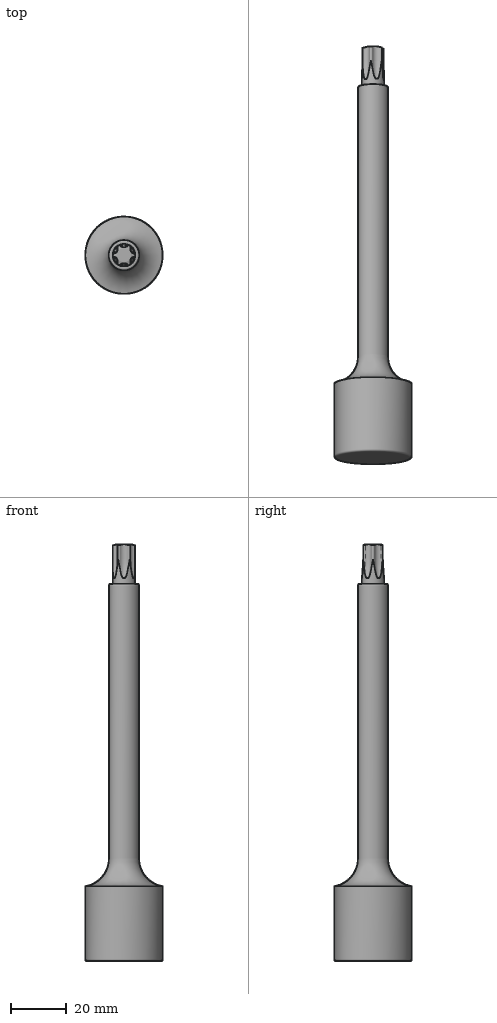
import cadquery as cq
import math

total_height = 150.3
socket_diameter = 28.0
socket_height = 27.0
flare_top = 37.0
shaft_diameter = 11.0
shaft_top = 136.0
edge_rounding = 0.8

tip_radius = 4.0
tip_face_radius = 2.5
tip_chamfer_height = 0.5
flute_count = 6
flute_floor_radius = 2.9
lobe_radius = 0.6
full_flute_length = 5.5
runout_length = 6.8

cutter_margin = 3.0
runout_overtravel = 5.0

socket_radius = socket_diameter / 2
shaft_radius = shaft_diameter / 2

flare_width = socket_radius - shaft_radius
flare_height = flare_top - socket_height
flare_radius = (flare_width**2 + flare_height**2) / (2 * flare_width)
flare_sweep = math.asin(flare_height / flare_radius)

flute_pitch = 360 / flute_count
half_pitch = flute_pitch / 2
lobe_centre = tip_radius - lobe_radius
lobe_reach = lobe_centre * math.cos(math.radians(half_pitch))
flute_radius = (
    lobe_centre**2 + flute_floor_radius**2 - 2 * lobe_reach * flute_floor_radius - lobe_radius**2
) / (2 * (lobe_reach + lobe_radius - flute_floor_radius))
flute_centre = flute_floor_radius + flute_radius

lobe_half_turn = math.degrees(
    math.atan2(
        flute_centre * math.sin(math.radians(half_pitch)),
        flute_centre * math.cos(math.radians(half_pitch)) - lobe_centre,
    )
)

runout_top = total_height - full_flute_length
flute_depth = tip_radius - flute_floor_radius
runout_radius = (runout_length**2 + flute_depth**2) / (2 * flute_depth)
runout_angle = math.degrees(math.asin(runout_length / runout_radius))


def polar(radius, degrees):
    """Point at the given radius and angle around the tip axis."""
    angle = math.radians(degrees)
    return (radius * math.cos(angle), radius * math.sin(angle))


def lobe_point(lobe_angle, turn):
    """Point on the lobe circle at lobe_angle, turned from the crest by the given angle."""
    centre_x, centre_y = polar(lobe_centre, lobe_angle)
    offset_x, offset_y = polar(lobe_radius, lobe_angle + turn)
    return (centre_x + offset_x, centre_y + offset_y)


def make_holder():
    """Socket and shaft turned as one piece, joined by a concave flare."""
    flare_middle = (
        shaft_radius + flare_radius * (1 - math.cos(flare_sweep / 2)),
        flare_top - flare_radius * math.sin(flare_sweep / 2),
    )
    return (
        cq.Workplane("XZ")
        .moveTo(0, 0)
        .lineTo(socket_radius - edge_rounding, 0)
        .radiusArc((socket_radius, edge_rounding), -edge_rounding)
        .lineTo(socket_radius, socket_height)
        .threePointArc(flare_middle, (shaft_radius, flare_top))
        .lineTo(shaft_radius, shaft_top - edge_rounding)
        .radiusArc((shaft_radius - edge_rounding, shaft_top), -edge_rounding)
        .lineTo(0, shaft_top)
        .close()
        .revolve(360, (0, 0, 0), (0, 1, 0))
    )


def make_lobed_end():
    """Upper length of the tip, where the flutes have their full depth."""
    outline = cq.Workplane("XY", origin=(0, 0, runout_top)).moveTo(*lobe_point(0, -lobe_half_turn))
    for lobe in range(flute_count):
        lobe_angle = lobe * flute_pitch
        next_angle = lobe_angle + flute_pitch
        outline = outline.threePointArc(
            polar(tip_radius, lobe_angle), lobe_point(lobe_angle, lobe_half_turn)
        )
        outline = outline.threePointArc(
            polar(flute_floor_radius, lobe_angle + half_pitch),
            lobe_point(next_angle, -lobe_half_turn),
        )
    return outline.close().extrude(full_flute_length)


def make_runout_cutter():
    """Flute section swung downward and outward about a tangential axis; this flute faces +X."""
    outer_radius = tip_radius + cutter_margin
    axis_x = flute_floor_radius + runout_radius
    return (
        cq.Workplane("XY", origin=(0, 0, runout_top))
        .moveTo(*polar(tip_radius, -half_pitch))
        .threePointArc(
            lobe_point(-half_pitch, lobe_half_turn / 2), lobe_point(-half_pitch, lobe_half_turn)
        )
        .threePointArc((flute_floor_radius, 0), lobe_point(half_pitch, -lobe_half_turn))
        .threePointArc(lobe_point(half_pitch, -lobe_half_turn / 2), polar(tip_radius, half_pitch))
        .lineTo(*polar(outer_radius, half_pitch))
        .lineTo(*polar(outer_radius, -half_pitch))
        .close()
        .revolve(runout_angle + runout_overtravel, (axis_x, 0, 0), (axis_x, -1, 0))
    )


def make_fluted_root():
    """Round lower length of the tip, into which the flutes run out."""
    root = (
        cq.Workplane("XY", origin=(0, 0, shaft_top))
        .circle(tip_radius)
        .extrude(runout_top - shaft_top)
    )
    cutter = make_runout_cutter()
    for flute in range(flute_count):
        flute_angle = flute * flute_pitch + half_pitch
        root = root.cut(cutter.rotate((0, 0, 0), (0, 0, 1), flute_angle))
    return root


def make_tip_envelope():
    """Cylinder with a shallow cone on top, which bevels the ends of the lobes."""
    return (
        cq.Workplane("XZ")
        .moveTo(0, shaft_top)
        .lineTo(tip_radius, shaft_top)
        .lineTo(tip_radius, total_height - tip_chamfer_height)
        .lineTo(tip_face_radius, total_height)
        .lineTo(0, total_height)
        .close()
        .revolve(360, (0, 0, 0), (0, 1, 0))
    )


def make_tip():
    """Driver tip standing on the end of the shaft."""
    return make_fluted_root().union(make_lobed_end()).intersect(make_tip_envelope())


holder = make_holder()
tip = make_tip()

result = cq.Compound.makeCompound([holder.val(), *tip.vals()])